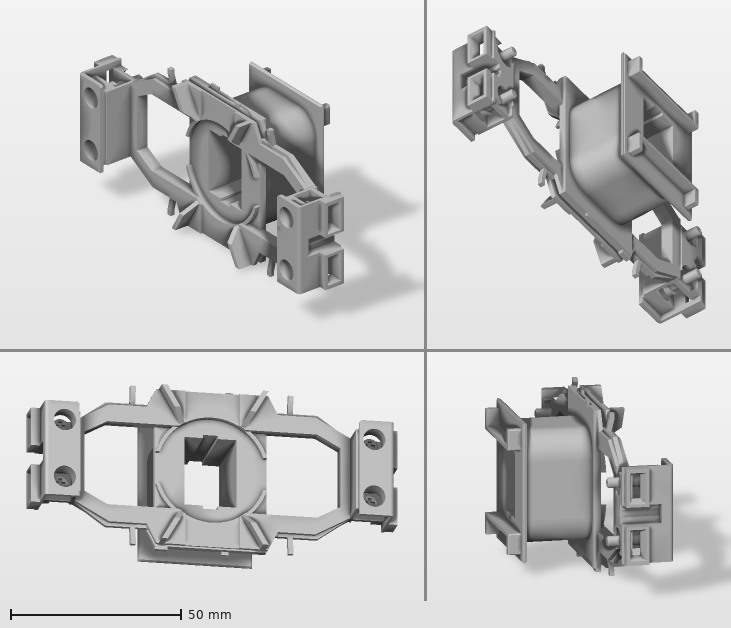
import cadquery as cq
import math


COIL_WIDTH, COIL_HEIGHT, COIL_RADIUS = 29.2, 34.0, 8.1
CORE_WALL = 1.8
BORE_WIDTH, BORE_HEIGHT = 15.5, 20.9
BORE_DRAFT = 0.3
KEYWAY_WIDTH, KEYWAY_DEPTH = 4.4, 1.0

LEG_FRONT = -7.4
FRAME_FRONT = -2.8
PLATE_THICKNESS = 1.4
ARM_REAR = 1.2
FLANGE_REAR = 2.2
REAR_FLANGE_FRONT = 22.3
RIM_FRONT, RIM_REAR = 23.1, 23.4
REAR_FLANGE_REAR = 23.8
LUG_REAR = 27.6

FLANGE_WIDTH = 33.5
FLANGE_TOP = 23.9
PANEL_WIDTH, PANEL_DEPTH = 16.2, 0.7
DISC_RADIUS = 16.3
GUIDE_THICKNESS = 1.1
GUIDE_END = 5.0
GUIDE_FRONT = -1.6

CHANNEL_WALL_FRONT, CHANNEL_WALL_REAR = 0.7, 1.5
CHANNEL_START = -9.2
CHANNEL_FRONT_BEND, CHANNEL_REAR_BEND = 6.8, 8.5
CHANNEL_EXIT_LEFT, CHANNEL_EXIT_RIGHT = 9.9, 13.1
CHANNEL_DEPTH = 0.9
TAB_TOP = 24.92
TOP_REAR_TAB_X = (-8.7, -5.3)
TOP_FRONT_TAB_X = (4.6, 6.7)
BOTTOM_FRONT_TAB_X = (-16.7, -12.9)
BOTTOM_REAR_TAB_X = (3.6, 5.7)

ARM_TOP = 18.2
ARM_ROOT = 19.7
ARM_CORNER = 30.9
ARM_END = 41.2
ARM_END_TOP = 12.4
WINDOW_END, WINDOW_END_TOP = 38.4, 9.1
WINDOW_CORNER, WINDOW_TOP = 31.5, 12.9

REAR_WIDTH, REAR_HEIGHT = 34.3, 42.2
REAR_STEP = 0.3
LUG_WIDTH = 30.2
LUG_BOTTOM, LUG_TOP = 12.5, 18.9
LUG_WALL, LUG_FLOOR = 2.0, 1.1
LUG_CHAMFER = 0.3

LEG_TIP_OUTER, LEG_TIP_INNER = 16.1, 14.3
LEG_ROOT_OUTER, LEG_ROOT_INNER = (9.9, 13.2), (8.6, 14.1)
LEG_BEVEL_TOP, LEG_BEVEL_BOTTOM = 17.3, 13.0

HOUSING_OUTER = 52.4
HOUSING_TOP = 14.58
HOUSING_FRONT = -13.6
HOUSING_REAR = 1.9
HOUSING_WALL = 0.9
HOUSING_CORNER = 1.1
COVER_INNER = 42.0
COVER_REAR = -12.3
FILL_FRONT = -11.5
CHAMBER_FRONT = -7.7
CHAMBER_INNER = 42.4
INNER_WALL_FACE = 41.4
INNER_TOP = 12.3
ACCESS_DIAMETER = 6.6
RELIEF_DIAMETER = 7.9
DIVIDER_THICKNESS = 7.7
COVER_CHAMFER = 0.5

ENTRY_OUTER = 55.0
ENTRY_FRONT = -5.7
ENTRY_BOTTOM = 3.0
ENTRY_MOUTH = (0.0, -4.8, 3.8, 13.3)
ENTRY_THROAT = (-0.8, -3.7, 5.0, 12.3)
GROOVE_FRONT = -10.1
GROOVE_DEPTH, GROOVE_SLOT_DEPTH = 2.9, 3.7
GROOVE_SLOT_HEIGHT = 2.3

PLATE_TOP = 19.1
PLATE_CORNER = 31.8
PLATE_ROOT = 18.9
PLATE_RIM = 1.1
PLATE_NOTCH_END = 47.8
PIN_X, PIN_WIDTH = 23.6, 1.5
PIN_TOP = 24.5
PIN_OFFSET = 0.9
PIN_BEND_TOP = 22.9

SCREW_X, SCREW_Z = 46.4, 8.8
SHANK_DIAMETER, HEAD_DIAMETER = 3.1, 5.0
SCREW_TIP = 5.1
HEAD_REAR, HEAD_FRONT = -4.8, -6.8
CROSS_LENGTH, CROSS_WIDTH, CROSS_DEPTH = 3.2, 1.1, 1.3
SCREW_CHAMFER = 0.3


def box(x0, x1, y0, y1, z0, z1):
    """Box between two opposite corners."""
    return cq.Workplane("XY").box(x1 - x0, y1 - y0, z1 - z0, centered=False).translate((x0, y0, z0))


def face_at(rear):
    """Sketch plane facing the front, with X to the right and Z up."""
    return cq.Workplane("XZ", origin=(0, rear, 0))


def rectangle(width, height, front, rear):
    return face_at(rear).rect(width, height).extrude(rear - front)


def prism(points, front, rear):
    return face_at(rear).polyline(points).close().extrude(rear - front)


def cylinder(radius, front, rear, x=0, z=0):
    return face_at(rear).center(x, z).circle(radius).extrude(rear - front)


def both_heights(upper):
    return upper.union(upper.mirror("XY"))


def both_ends(left):
    return left.union(left.mirror("YZ"))


def symmetric(upper_half):
    """Close a chain of points above the X axis with its mirror image below."""
    return upper_half + [(x, -z) for x, z in reversed(upper_half)]


def left_plate():
    outer = symmetric(
        [
            (-PLATE_ROOT, PLATE_TOP),
            (-PLATE_CORNER, PLATE_TOP),
            (-ARM_END, ARM_END_TOP),
            (-ARM_END, INNER_TOP),
            (HOUSING_WALL - HOUSING_OUTER, INNER_TOP),
        ]
    )
    opening = symmetric(
        [
            (-PLATE_ROOT, WINDOW_TOP + PLATE_RIM),
            (-WINDOW_CORNER, WINDOW_TOP + PLATE_RIM),
            (-WINDOW_END - PLATE_RIM, WINDOW_END_TOP + PLATE_RIM),
        ]
    )
    plate = prism(outer, -PLATE_THICKNESS, 0).cut(prism(opening, -PLATE_THICKNESS, 0))
    pin_profile = [
        (0, PLATE_TOP),
        (-PIN_OFFSET, PIN_BEND_TOP),
        (-PIN_OFFSET, PIN_TOP),
        (-PIN_OFFSET - PLATE_THICKNESS, PIN_TOP),
        (-PIN_OFFSET - PLATE_THICKNESS, PIN_BEND_TOP),
        (-PLATE_THICKNESS, PLATE_TOP),
    ]
    pin_start = cq.Workplane("YZ", origin=(-PIN_X - PIN_WIDTH / 2, 0, 0))
    pin = pin_start.polyline(pin_profile).close().extrude(PIN_WIDTH)
    half_divider = DIVIDER_THICKNESS / 2
    divider_notch = box(
        -HOUSING_OUTER, -PLATE_NOTCH_END, -PLATE_THICKNESS, 0, -half_divider, half_divider
    )
    return plate.union(both_heights(pin)).cut(divider_notch)


def screw(x, z):
    shank = cylinder(SHANK_DIAMETER / 2, HEAD_REAR, SCREW_TIP, x, z).faces(">Y").chamfer(SCREW_CHAMFER)
    head = cylinder(HEAD_DIAMETER / 2, HEAD_FRONT, HEAD_REAR, x, z).faces("<Y").chamfer(SCREW_CHAMFER)
    cross_bottom = HEAD_FRONT + CROSS_DEPTH
    cross = rectangle(CROSS_LENGTH, CROSS_WIDTH, HEAD_FRONT, cross_bottom)
    cross = cross.union(rectangle(CROSS_WIDTH, CROSS_LENGTH, HEAD_FRONT, cross_bottom))
    return shank.union(head).cut(cross.translate((x, 0, z)))


def coil():
    outer = rectangle(COIL_WIDTH, COIL_HEIGHT, FLANGE_REAR, REAR_FLANGE_FRONT)
    return outer.edges("|Y").fillet(COIL_RADIUS).cut(core())


def core():
    return rectangle(
        BORE_WIDTH + 2 * CORE_WALL, BORE_HEIGHT + 2 * CORE_WALL, FLANGE_REAR, REAR_FLANGE_FRONT
    )


def bore():
    """Tapered rectangular bore with a keyway at top and bottom."""
    narrowing = 2 * BORE_DRAFT
    taper = (
        face_at(0)
        .rect(BORE_WIDTH, BORE_HEIGHT)
        .workplane(offset=-REAR_FLANGE_REAR)
        .rect(BORE_WIDTH - narrowing, BORE_HEIGHT - narrowing)
        .loft(combine=True)
    )
    keyways = rectangle(KEYWAY_WIDTH, BORE_HEIGHT + 2 * KEYWAY_DEPTH, 0, REAR_FLANGE_REAR)
    return taper.union(keyways)


def rear_flange():
    """Flange that tapers forward from its rim, and two trough-shaped lugs at its back."""
    rim = rectangle(REAR_WIDTH, REAR_HEIGHT, RIM_FRONT, RIM_REAR)
    taper_length = RIM_FRONT - REAR_FLANGE_FRONT
    taper_angle = math.degrees(math.atan(REAR_STEP / taper_length))
    front = face_at(RIM_FRONT).rect(REAR_WIDTH, REAR_HEIGHT).extrude(taper_length, taper=taper_angle)
    back = rectangle(
        REAR_WIDTH - 2 * REAR_STEP, REAR_HEIGHT - 2 * REAR_STEP, RIM_REAR, REAR_FLANGE_REAR
    )
    half_width = LUG_WIDTH / 2
    lug = box(-half_width, half_width, REAR_FLANGE_REAR, LUG_REAR, LUG_BOTTOM, LUG_TOP)
    lug = lug.faces("<X or >X").edges("not <Y").chamfer(LUG_CHAMFER)
    half_trough = half_width - LUG_WALL
    trough = box(
        -half_trough, half_trough, REAR_FLANGE_REAR, LUG_REAR, LUG_BOTTOM + LUG_FLOOR, LUG_TOP
    )
    return rim.union(front).union(back).union(both_heights(lug.cut(trough)))


def frame():
    """Front flange and arms, before the plates are let in."""
    half_outline = symmetric(
        [
            (0, FLANGE_TOP),
            (-FLANGE_WIDTH / 2, FLANGE_TOP),
            (-ARM_ROOT, ARM_TOP),
            (-ARM_CORNER, ARM_TOP),
            (-ARM_END, ARM_END_TOP),
        ]
    )
    half_window = symmetric(
        [(0, WINDOW_TOP), (-WINDOW_CORNER, WINDOW_TOP), (-WINDOW_END, WINDOW_END_TOP)]
    )
    half = prism(half_outline, FRAME_FRONT, ARM_REAR).cut(prism(half_window, FRAME_FRONT, ARM_REAR))
    disc = cylinder(DISC_RADIUS, FRAME_FRONT, 0)
    panel = rectangle(PANEL_WIDTH, 2 * FLANGE_TOP, FRAME_FRONT, FRAME_FRONT + PANEL_DEPTH)
    groove = box(-ARM_ROOT, ARM_ROOT, -PLATE_THICKNESS, 0, ARM_TOP, FLANGE_TOP)
    slab = rectangle(FLANGE_WIDTH, 2 * FLANGE_TOP, 0, FLANGE_REAR)
    front = both_ends(half).cut(disc).cut(panel).cut(both_heights(groove))
    flange = front.union(slab).cut(wire_channel())
    return flange.union(wire_tabs()).union(guides()).union(legs())


def wire_channel():
    """Channel in the top edge of the flange that swings forward into the groove."""
    front, rear = CHANNEL_WALL_FRONT, CHANNEL_WALL_REAR
    path = [
        (CHANNEL_START, front),
        (CHANNEL_START, FLANGE_REAR),
        (TOP_REAR_TAB_X[0], FLANGE_REAR),
        (TOP_REAR_TAB_X[0], rear),
        (CHANNEL_REAR_BEND, rear),
        (CHANNEL_EXIT_RIGHT, 0),
        (CHANNEL_EXIT_LEFT, 0),
        (CHANNEL_FRONT_BEND, front),
    ]
    floor = cq.Workplane("XY", origin=(0, 0, FLANGE_TOP - CHANNEL_DEPTH))
    return floor.polyline(path).close().extrude(CHANNEL_DEPTH)


def wire_tabs():
    """Small tabs on the top and bottom edges that hold the winding wire."""
    rear_tab = (CHANNEL_WALL_REAR, FLANGE_REAR)
    tabs = box(*TOP_REAR_TAB_X, *rear_tab, FLANGE_TOP, TAB_TOP)
    for x_range, y_range, low, high in (
        (TOP_FRONT_TAB_X, (0, CHANNEL_WALL_FRONT), FLANGE_TOP, TAB_TOP),
        (BOTTOM_FRONT_TAB_X, (0, CHANNEL_WALL_REAR), -TAB_TOP, -FLANGE_TOP),
        (BOTTOM_REAR_TAB_X, rear_tab, -TAB_TOP, -FLANGE_TOP),
    ):
        tabs = tabs.union(box(*x_range, *y_range, low, high))
    return tabs


def guides():
    """Four curved ribs that continue the edge of the disc recess across the windows."""
    reach = DISC_RADIUS + GUIDE_THICKNESS
    ring = cylinder(reach, GUIDE_FRONT, 0).cut(cylinder(DISC_RADIUS, GUIDE_FRONT, 0))
    return ring.intersect(both_heights(box(-reach, reach, GUIDE_FRONT, 0, GUIDE_END, WINDOW_TOP)))


def legs():
    """Four slanted legs, bevelled towards the disc."""
    outline = [
        (-LEG_TIP_OUTER, FLANGE_TOP),
        (-LEG_TIP_INNER, FLANGE_TOP),
        (-LEG_ROOT_INNER[0], LEG_ROOT_INNER[1]),
        (-LEG_ROOT_OUTER[0], LEG_ROOT_OUTER[1]),
    ]
    base = FRAME_FRONT + PANEL_DEPTH
    side = [(base, FLANGE_TOP), (LEG_FRONT, FLANGE_TOP), (LEG_FRONT, LEG_BEVEL_TOP), (base, LEG_BEVEL_BOTTOM)]
    side_prism = cq.Workplane("YZ").polyline(side).close().extrude(-FLANGE_WIDTH / 2)
    return both_ends(both_heights(prism(outline, LEG_FRONT, base).intersect(side_prism)))


def left_housing():
    wall_inner = HOUSING_OUTER - HOUSING_WALL
    shell = box(-HOUSING_OUTER, -COVER_INNER, HOUSING_FRONT, HOUSING_REAR, -HOUSING_TOP, HOUSING_TOP)
    shell = shell.edges("|Z and <X and <Y").fillet(HOUSING_CORNER)
    shell = shell.edges("|Y and >X and >Z").chamfer(COVER_CHAMFER)
    inside = box(-wall_inner, -COVER_INNER, COVER_REAR, HOUSING_REAR, -HOUSING_TOP, HOUSING_TOP)
    fill = box(-wall_inner, -INNER_WALL_FACE, FILL_FRONT, ARM_REAR, -INNER_TOP, INNER_TOP)
    fill = fill.union(box(-wall_inner, -COVER_INNER, COVER_REAR, FILL_FRONT, -INNER_TOP, INNER_TOP))
    fill = fill.union(box(-wall_inner, -CHAMBER_INNER, ARM_REAR, HOUSING_REAR, -INNER_TOP, INNER_TOP))
    fill = fill.union(box(-INNER_WALL_FACE, -ARM_END, FRAME_FRONT, ARM_REAR, -INNER_TOP, INNER_TOP))
    chamber = box(
        -wall_inner, -CHAMBER_INNER, CHAMBER_FRONT, 0, DIVIDER_THICKNESS / 2, INNER_TOP
    )
    housing = shell.cut(inside).union(fill).cut(both_heights(chamber))
    housing = housing.union(both_heights(entry_block()))
    housing = housing.cut(both_heights(entry_hole())).cut(wall_groove())
    for z in (-SCREW_Z, SCREW_Z):
        housing = housing.cut(cylinder(ACCESS_DIAMETER / 2, HOUSING_FRONT, CHAMBER_FRONT, -SCREW_X, z))
        housing = housing.cut(cylinder(RELIEF_DIAMETER / 2, 0, HOUSING_REAR, -SCREW_X, z))
    relief = box(-SCREW_X, -CHAMBER_INNER, 0, HOUSING_REAR, SCREW_Z, INNER_TOP)
    housing = housing.cut(both_heights(relief))
    return housing


def entry_block():
    return box(-ENTRY_OUTER, -HOUSING_OUTER, ENTRY_FRONT, ARM_REAR, ENTRY_BOTTOM, HOUSING_TOP)


def entry_hole():
    """Wire funnel that narrows from its mouth to a throat at the chamber."""
    sections = []
    wall_inner = HOUSING_WALL - HOUSING_OUTER
    for x, (rear, front, bottom, top) in ((-ENTRY_OUTER, ENTRY_MOUTH), (-HOUSING_OUTER, ENTRY_THROAT)):
        corners = [(x, rear, bottom), (x, front, bottom), (x, front, top), (x, rear, top)]
        sections.append(cq.Wire.makePolygon([cq.Vector(*c) for c in corners], close=True))
    rear, front, bottom, top = ENTRY_THROAT
    throat = box(-HOUSING_OUTER, wall_inner, front, rear, bottom, top)
    return throat.union(cq.Workplane(cq.Solid.makeLoft(sections, True)))


def wall_groove():
    """Stepped groove in the outer wall between the two wire entries."""
    outer = -HOUSING_OUTER
    step = box(outer, outer + GROOVE_DEPTH, GROOVE_FRONT, HOUSING_REAR, -ENTRY_BOTTOM, ENTRY_BOTTOM)
    half_height = GROOVE_SLOT_HEIGHT / 2
    return step.union(
        box(outer, outer + GROOVE_SLOT_DEPTH, GROOVE_FRONT, HOUSING_REAR, -half_height, half_height)
    )


def bobbin(plates, screws):
    body = frame().union(core()).union(rear_flange()).cut(bore()).union(both_ends(left_housing()))
    for part in plates + screws:
        body = body.cut(part)
    return body


screws = [screw(x, z) for x in (-SCREW_X, SCREW_X) for z in (-SCREW_Z, SCREW_Z)]
plate = left_plate()
for part in screws:
    plate = plate.cut(part)
plates = [plate, plate.mirror("YZ")]
former = bobbin(plates, screws)
winding = coil()

result = cq.Compound.makeCompound(
    [former.val(), winding.val(), *[p.val() for p in plates], *[s.val() for s in screws]]
)